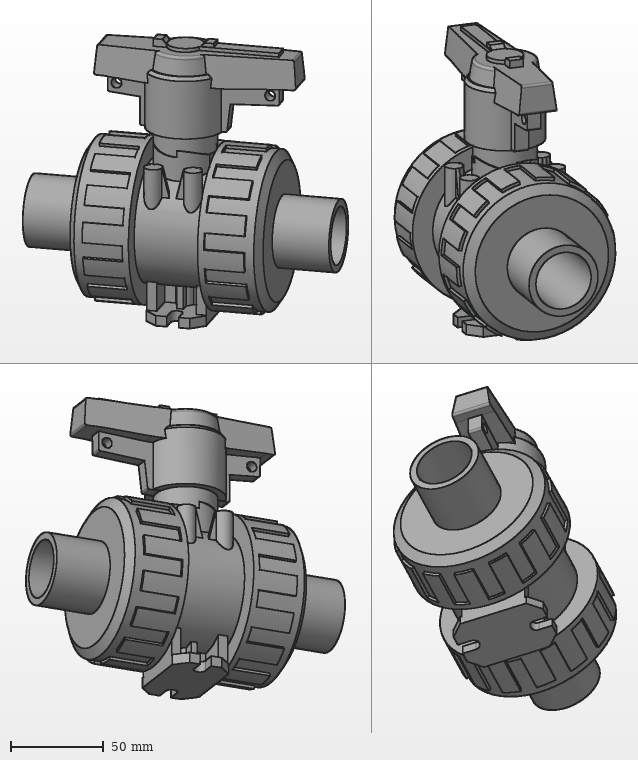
import cadquery as cq
import math


OVERLAP = 1.0

PIPE_LENGTH = 171.0
PIPE_RADIUS = 20.0
BORE_RADIUS = 16.0
BODY_RADIUS = 34.2
NUT_INNER_X = 19.3
NUT_OUTER_X = 53.9
NUT_RADIUS = 46.0
NUT_ROOT_RADIUS = 44.2
NUT_CHAMFER_X = 3.7
NUT_CHAMFER_R = 5.6
GRIP_INNER_X = 22.8
GRIP_OUTER_X = 45.1
GRIP_COUNT = 14
GRIP_PITCH = 360.0 / GRIP_COUNT
GROOVE_ANGLE = 11.7
GROOVE_PHASE = 18.9

NECK_RADIUS = 17.9
NECK_HALF_X = 15.8
COLLAR_RADIUS = 17.4
STEP_HIGH_Z = 46.35
STEP_LOW_Z = 42.6
STEP_SIDE_Z = 45.9
RAMP_BULGE = 0.9

SKIRT_RADIUS = 21.9
SKIRT_BOTTOM_Z = 54.5
SKIRT_TOP_Z = 87.1
CONE_BOTTOM_Z = 89.2
CONE_BOTTOM_RADIUS = 19.4
SHOULDER_RADIUS = 20.2
CONE_TOP_RADIUS = 17.8
HANDLE_TOP_Z = 99.8
CONE_TOP_ROUND = 1.6
LEVER_BOTTOM_Z = 81.8
LEVER_TIP_Z = 83.2
LEVER_ROUND = 1.3
LEVER_LEFT_X = -48.3
LEVER_RIGHT_X = 64.2
LEVER_TIP_LEAN = 1.4
LEVER_SLOPE_START_LEFT_X = -20.0
LEVER_SLOPE_START_RIGHT_X = 25.7
PLAN_LEFT_X = -50.0
PLAN_RIGHT_X = 66.0
LEVER_BOTTOM_HALF_WIDTHS = (11.1, 14.4, 9.5)
LEVER_TOP_HALF_WIDTHS = (8.7, 12.0, 7.8)
WEB_THICKNESS = 8.0
WEB_LEFT_X = -42.4
WEB_RIGHT_X = 53.4
WEB_LEFT_END_Z = 72.2
WEB_RIGHT_END_Z = 72.0
WEB_ROOT_Z = 70.6
WEB_ROOT_LEFT_X = -24.4
WEB_ROOT_RIGHT_X = 26.1
WEB_FOOT_RIGHT_X = 24.2
SLIT_WIDTH = 9.5
SLIT_THROUGH_Z = 70.4
LOCK_HOLE_DIAMETER = 5.7
LOCK_HOLE_Z = 77.3
LOCK_HOLES_X = (-37.5, 48.3)
WEB_ROUND = 1.2
CAP_RADIUS = 10.0
CAP_TOP_Z = 101.9
RAIL_WIDTH = 9.0
TAB_WIDTH = 8.0
TAB_TOP_Z = 104.1
TAB_OUTER_X = 16.8
TAB_TOP_INNER_X = 11.8
TAB_FOOT_X = 9.7

POST_RADIUS = 5.1
POST_X = 11.05
POST_Y = 25.1
POST_TOP_Z = 38.5
GUSSET_THICKNESS = 2.2
GUSSET_BOTTOM_Z = 21.5
GUSSET_SPREAD = 4.2
CROSS_GUSSET_X = 13.0

FOOT_BOTTOM_Z = -51.0
FOOT_TOP_Z = -45.2
FOOT_HALF_X = 16.7
FOOT_HALF_Y = 26.1
FOOT_CHAMFER_X = 7.2
FOOT_CHAMFER_Y = 6.9
FOOT_SLOT_WIDTH = 6.7
FOOT_SLOT_CENTER_Y = 18.3
LEG_INNER_X = 11.1
LEG_HALF_Y = 18.3
FOOT_WEB_THICKNESS = 3.6
FOOT_BOSS_RADIUS = 5.4
FOOT_RIB_HALF_Y = 11.0
FOOT_EMBED_Z = -26.2


def box(x0, x1, y0, y1, z0, z1):
    """Axis-aligned box between the given limits."""
    return cq.Workplane("XY").box(x1 - x0, y1 - y0, z1 - z0, centered=False).translate((x0, y0, z0))


def cylinder_z(radius, z0, z1, x=0.0, y=0.0):
    """Upright cylinder between two heights."""
    return cq.Workplane("XY", origin=(x, y, z0)).circle(radius).extrude(z1 - z0)


def cylinder_x(radius, half_length):
    """Cylinder on the pipe axis, centred on the origin."""
    return cq.Workplane("YZ").circle(radius).extrude(half_length, both=True)


def prism_y(points, thickness, y=0.0):
    """Polygon in X and Z, extruded to a plate centred on y."""
    return cq.Workplane("XZ", origin=(0, y, 0)).polyline(points).close().extrude(thickness / 2, both=True)


def round_corners(plate, corners, radius):
    """Round the plate's edges along Y at the given X and Z corners."""
    for x, z in corners:
        plate = plate.edges(cq.selectors.NearestToPointSelector((x, 0, z))).fillet(radius)
    return plate


def half_turn(part):
    """Copy turned by 180 degrees about the stem axis."""
    return part.rotate((0, 0, 0), (0, 0, 1), 180)


def make_run():
    """Pipe ends, body and the smooth cores of both union nuts as one solid of revolution."""
    core_inner_x = (NUT_INNER_X + GRIP_INNER_X) / 2
    half_profile = [
        (PIPE_LENGTH / 2, 0),
        (PIPE_LENGTH / 2, PIPE_RADIUS),
        (NUT_OUTER_X, PIPE_RADIUS),
        (NUT_OUTER_X, NUT_ROOT_RADIUS - NUT_CHAMFER_R),
        (NUT_OUTER_X - NUT_CHAMFER_X, NUT_ROOT_RADIUS),
        (core_inner_x, NUT_ROOT_RADIUS),
        (core_inner_x, BODY_RADIUS),
    ]
    mirrored = [(-x, r) for x, r in reversed(half_profile)]
    return cq.Workplane("XZ").polyline(half_profile + mirrored).close().revolve(360, (0, 0, 0), (1, 0, 0))


def make_grip():
    """Flange and grip ribs of the nut on the -X side.

    The gaps between the ribs reach below the nut core, so the core forms their floor.
    """
    outer_plane = cq.Workplane("YZ", origin=(-GRIP_OUTER_X, 0, 0))
    band = outer_plane.circle(NUT_RADIUS).extrude(GRIP_OUTER_X - NUT_INNER_X)
    floor = NUT_ROOT_RADIUS - 3 * OVERLAP
    brim = NUT_RADIUS + 3 * OVERLAP
    flare = math.tan(math.radians(GROOVE_ANGLE / 2))
    sector = [
        (-floor, -floor * flare),
        (-brim, -brim * flare),
        (-brim, brim * flare),
        (-floor, floor * flare),
    ]
    groove = outer_plane.polyline(sector).close().extrude(GRIP_OUTER_X - GRIP_INNER_X)
    for i in range(GRIP_COUNT):
        band = band.cut(groove.rotate((0, 0, 0), (1, 0, 0), -GROOVE_PHASE - i * GRIP_PITCH))
    return band


def make_stem():
    """Flatted neck that meets the round collar along stepped, curved ramps."""
    side = NECK_HALF_X
    front = (
        cq.Workplane("XZ")
        .moveTo(-side, 0)
        .lineTo(-side, STEP_SIDE_Z)
        .sagittaArc((0, STEP_LOW_Z), -RAMP_BULGE)
        .lineTo(0, STEP_HIGH_Z)
        .sagittaArc((side, STEP_LOW_Z), RAMP_BULGE)
        .lineTo(side, 0)
        .close()
        .extrude(NECK_RADIUS + OVERLAP)
    )
    neck = cylinder_z(NECK_RADIUS, 0, STEP_HIGH_Z).intersect(front.union(half_turn(front)))
    collar = cylinder_z(COLLAR_RADIUS, STEP_LOW_Z, SKIRT_BOTTOM_Z)
    relief = box(-NECK_RADIUS, -side, -NECK_RADIUS, 0, 0, STEP_SIDE_Z)
    collar = collar.cut(relief).cut(half_turn(relief))
    return neck.union(collar)


def make_hub():
    """Round skirt and tapered top of the handle, slotted along X for the web."""
    hub = (
        cq.Workplane("XZ")
        .moveTo(0, SKIRT_BOTTOM_Z)
        .lineTo(SKIRT_RADIUS, SKIRT_BOTTOM_Z)
        .lineTo(SKIRT_RADIUS, SKIRT_TOP_Z)
        .lineTo(SHOULDER_RADIUS, CONE_BOTTOM_Z)
        .lineTo(CONE_BOTTOM_RADIUS, CONE_BOTTOM_Z)
        .lineTo(CONE_TOP_RADIUS, HANDLE_TOP_Z - CONE_TOP_ROUND)
        .radiusArc((CONE_TOP_RADIUS - CONE_TOP_ROUND, HANDLE_TOP_Z), -CONE_TOP_ROUND)
        .lineTo(0, HANDLE_TOP_Z)
        .close()
        .revolve(360, (0, 0, 0), (0, 1, 0))
    )
    half = SLIT_WIDTH / 2
    reach = SKIRT_RADIUS + OVERLAP
    slit = box(-reach, reach, -half, half, SKIRT_BOTTOM_Z, LEVER_TIP_Z)
    core = cylinder_z(COLLAR_RADIUS, SKIRT_BOTTOM_Z, SLIT_THROUGH_Z)
    return hub.cut(slit.cut(core))


def make_lever():
    """Two-armed grip whose sides taper in plan and lean inward toward the top."""
    def plan(left_half, middle_half, right_half):
        return [
            (PLAN_LEFT_X, -left_half),
            (0, -middle_half),
            (PLAN_RIGHT_X, -right_half),
            (PLAN_RIGHT_X, right_half),
            (0, middle_half),
            (PLAN_LEFT_X, left_half),
        ]

    leaning_sides = (
        cq.Workplane("XY", origin=(0, 0, LEVER_BOTTOM_Z))
        .polyline(plan(*LEVER_BOTTOM_HALF_WIDTHS))
        .close()
        .workplane(offset=HANDLE_TOP_Z - LEVER_BOTTOM_Z)
        .polyline(plan(*LEVER_TOP_HALF_WIDTHS))
        .close()
        .loft(ruled=True)
    )
    side_outline = [
        (LEVER_LEFT_X, LEVER_TIP_Z),
        (WEB_LEFT_X, LEVER_TIP_Z),
        (LEVER_SLOPE_START_LEFT_X, LEVER_BOTTOM_Z),
        (LEVER_SLOPE_START_RIGHT_X, LEVER_BOTTOM_Z),
        (WEB_RIGHT_X, LEVER_TIP_Z),
        (LEVER_RIGHT_X, LEVER_TIP_Z),
        (LEVER_RIGHT_X - LEVER_TIP_LEAN, HANDLE_TOP_Z),
        (LEVER_LEFT_X + LEVER_TIP_LEAN, HANDLE_TOP_Z),
    ]
    tip_corners = (side_outline[0], side_outline[5], side_outline[6], side_outline[7])
    side_plate = prism_y(side_outline, 2 * SKIRT_RADIUS)
    return leaning_sides.intersect(round_corners(side_plate, tip_corners, LEVER_ROUND))


def make_web():
    """Flat plate under the lever with a padlock hole in each arm."""
    outline = [
        (WEB_LEFT_X, LEVER_TIP_Z + OVERLAP),
        (WEB_LEFT_X, WEB_LEFT_END_Z),
        (WEB_ROOT_LEFT_X, WEB_ROOT_Z),
        (WEB_ROOT_LEFT_X, SKIRT_BOTTOM_Z),
        (WEB_FOOT_RIGHT_X, SKIRT_BOTTOM_Z),
        (WEB_ROOT_RIGHT_X, WEB_ROOT_Z),
        (WEB_RIGHT_X, WEB_RIGHT_END_Z),
        (WEB_RIGHT_X, LEVER_TIP_Z + OVERLAP),
    ]
    lower_corners = (outline[1], outline[3], outline[4], outline[6])
    web = round_corners(prism_y(outline, WEB_THICKNESS), lower_corners, WEB_ROUND)
    holes = (
        cq.Workplane("XZ")
        .pushPoints([(x, LOCK_HOLE_Z) for x in LOCK_HOLES_X])
        .circle(LOCK_HOLE_DIAMETER / 2)
        .extrude(WEB_THICKNESS, both=True)
    )
    return web.cut(holes)


def make_top_marks():
    """Cap disc, position rail and the two raised tabs on top of the handle."""
    marks = cylinder_z(CAP_RADIUS, HANDLE_TOP_Z - OVERLAP, CAP_TOP_Z)
    half = RAIL_WIDTH / 2
    marks = marks.union(box(0, WEB_RIGHT_X, -half, half, HANDLE_TOP_Z - OVERLAP, CAP_TOP_Z))
    tab_outline = [
        (TAB_OUTER_X, HANDLE_TOP_Z - OVERLAP),
        (TAB_OUTER_X, TAB_TOP_Z),
        (TAB_TOP_INNER_X, TAB_TOP_Z),
        (TAB_FOOT_X, CAP_TOP_Z),
        (TAB_FOOT_X, HANDLE_TOP_Z - OVERLAP),
    ]
    tab = prism_y(tab_outline, TAB_WIDTH)
    return marks.union(tab).union(half_turn(tab))


def make_post():
    """Post in the +X +Y corner with one gusset along X and one along Y."""
    post = cylinder_z(POST_RADIUS, 0, POST_TOP_Z, POST_X, POST_Y)

    def gusset_outline(center):
        edge = center - POST_RADIUS
        return [
            (center, POST_TOP_Z),
            (edge, POST_TOP_Z),
            (edge - GUSSET_SPREAD, GUSSET_BOTTOM_Z),
            (center, GUSSET_BOTTOM_Z),
        ]

    along_x = prism_y(gusset_outline(POST_X), GUSSET_THICKNESS, POST_Y)
    along_y = (
        cq.Workplane("YZ", origin=(CROSS_GUSSET_X, 0, 0))
        .polyline(gusset_outline(POST_Y))
        .close()
        .extrude(GUSSET_THICKNESS / 2, both=True)
    )
    return post.union(along_x).union(along_y)


def make_foot():
    """Slotted mounting plate carried by two legs, a web, a boss and a rib."""
    near_x = FOOT_HALF_X - FOOT_CHAMFER_X
    near_y = FOOT_HALF_Y - FOOT_CHAMFER_Y
    octagon = [
        (near_x, -FOOT_HALF_Y),
        (FOOT_HALF_X, -near_y),
        (FOOT_HALF_X, near_y),
        (near_x, FOOT_HALF_Y),
        (-near_x, FOOT_HALF_Y),
        (-FOOT_HALF_X, near_y),
        (-FOOT_HALF_X, -near_y),
        (-near_x, -FOOT_HALF_Y),
    ]
    foot = (
        cq.Workplane("XY", origin=(0, 0, FOOT_BOTTOM_Z))
        .polyline(octagon)
        .close()
        .extrude(FOOT_TOP_Z - FOOT_BOTTOM_Z)
    )
    half_slot = FOOT_SLOT_WIDTH / 2
    slot = box(-half_slot, half_slot, FOOT_SLOT_CENTER_Y, FOOT_HALF_Y + OVERLAP, FOOT_BOTTOM_Z, FOOT_TOP_Z)
    slot = slot.union(cylinder_z(half_slot, FOOT_BOTTOM_Z, FOOT_TOP_Z, 0, FOOT_SLOT_CENTER_Y))
    foot = foot.cut(slot).cut(half_turn(slot))

    leg = box(LEG_INNER_X, FOOT_HALF_X, -LEG_HALF_Y, LEG_HALF_Y, FOOT_TOP_Z, FOOT_EMBED_Z)
    half_web = FOOT_WEB_THICKNESS / 2
    web = box(-LEG_INNER_X, LEG_INNER_X, -half_web, half_web, FOOT_TOP_Z, FOOT_EMBED_Z)
    rib = box(-half_web, half_web, -FOOT_RIB_HALF_Y, FOOT_RIB_HALF_Y, FOOT_TOP_Z, FOOT_EMBED_Z)
    boss = cylinder_z(FOOT_BOSS_RADIUS, FOOT_TOP_Z, FOOT_EMBED_Z)
    for piece in (leg, half_turn(leg), web, rib, boss):
        foot = foot.union(piece)
    return foot


grip = make_grip()
valve = make_run().union(grip).union(half_turn(grip))
valve = valve.union(make_stem())

post = make_post()
post_pair = post.union(post.mirror("YZ"))
valve = valve.union(post_pair).union(post_pair.mirror("XZ"))
valve = valve.union(make_foot())

handle = make_hub().union(make_lever()).union(make_web()).union(make_top_marks())
valve = valve.union(handle)

bore = cylinder_x(BORE_RADIUS, PIPE_LENGTH / 2 + OVERLAP)
result = valve.cut(bore)